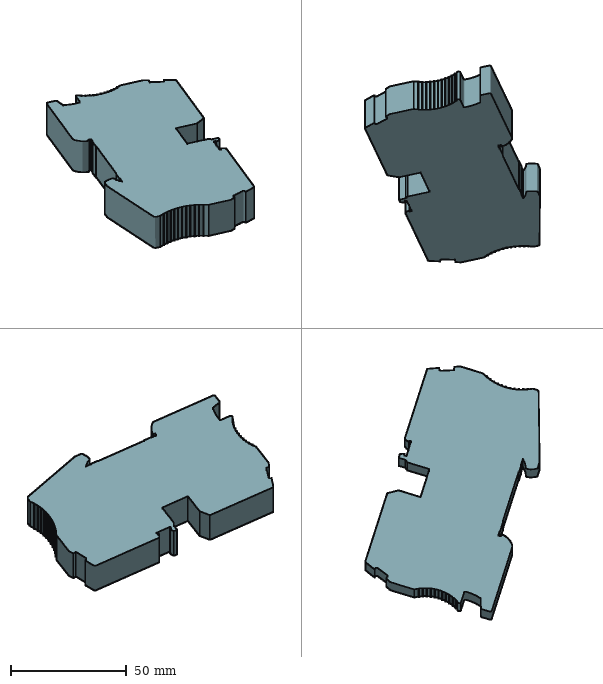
import cadquery as cq
import math

length = 100.0
height = 58.6
thickness = 16.2

shoulder = [
    (0.0, 45.5),
    (1.0, 47.7),
    (2.4, 47.4),
    (4.5, 53.2),
    (3.3, 53.7),
    (5.3, height),
]
shoulder_crest_round = 0.5
shoulder_foot_round = 1.3
shoulder_notch_round = 0.5

grip_depth = 2.9
left_grip_top = 34.7
left_grip_middle = 24.6
left_grip_bottom = 15.5
right_grip_top = 35.0
right_grip_bottom = 12.5
right_grip_middle = (right_grip_top + right_grip_bottom) / 2

ridge_count = 11
ridge_width = 0.3
ridge_height = 0.3
ridge_root = 0.5
left_ridge_pitch = 5.2
right_ridge_pitch = 4.7

slot_top = 13.8
slot_depth = 5.7
slot_bend = (5.6, 10.0)
slot_end = (4.8, 6.1)
slot_corner_round = 0.6

foot_left = 0.4
foot_shoulder = 4.8
foot_round = 0.8
foot_toe = 31.1
foot_toe_round = 1.6
foot_nose_middle = (33.6, 2.8)
foot_nose = (34.6, 6.1)
foot_undercut = 33.7

seat = 7.3
pad_drop = 0.2
left_pad = (35.5, 39.9)
right_pad = (62.8, 66.4)

hook_root = 69.1
hook_neck = (67.2, 5.6)
hook_lip = (65.3, 4.7)
hook_waist = (65.6, 2.6)
hook_heel = 66.8
hook_lip_round = 0.7
hook_heel_round = 0.5
ramp_start = 70.2
ramp_end = 9.8
ramp_start_round = 2.4
ramp_end_round = 1.3

well_left = 39.8
well_right = 52.7
well_floor = 44.4
well_lead_height = 54.3
well_lead_left = 37.1
post_left = 53.5
post_lead_height = 55.5
post_right = 55.1
groove_left = 55.3
groove_right = 62.1
groove_floor = 55.6
groove_lip_height = 56.5
groove_lip = 0.6
lip_bulge = 0.2
land_start = 62.5


def arc_radius(half_chord, sagitta):
    return (half_chord**2 + sagitta**2) / (2 * sagitta)


def lip_middle(start, end, bulge):
    """Point halfway along a groove lip, pushed sideways so that the lip is rounded."""
    return ((start[0] + end[0]) / 2 + bulge, (start[1] + end[1]) / 2)


left_grip_radius = arc_radius(left_grip_top - left_grip_middle, grip_depth)
right_grip_radius = arc_radius(right_grip_top - right_grip_middle, grip_depth)
left_grip_drop = left_grip_middle - left_grip_bottom
left_tip_inset = grip_depth - left_grip_radius + math.sqrt(left_grip_radius**2 - left_grip_drop**2)
left_tip_middle = (left_grip_bottom + slot_top) / 2

left_lip_top = (post_right, height)
left_lip_tip = (groove_left + groove_lip, groove_lip_height)
right_lip_tip = (groove_right - groove_lip, groove_lip_height)
right_lip_top = (land_start, height)


def housing():
    right_shoulder = [(length - inset, level) for inset, level in reversed(shoulder)]
    outline = (
        cq.Workplane("XY")
        .moveTo(left_tip_inset, left_grip_bottom)
        .threePointArc((grip_depth, left_grip_middle), (0, left_grip_top))
    )
    for point in shoulder:
        outline = outline.lineTo(*point)
    outline = (
        outline
        .lineTo(well_lead_left, height)
        .lineTo(well_left, well_lead_height)
        .lineTo(well_left, well_floor)
        .lineTo(well_right, well_floor)
        .lineTo(well_right, well_lead_height)
        .lineTo(post_left, post_lead_height)
        .lineTo(post_left, height)
        .lineTo(*left_lip_top)
        .threePointArc(lip_middle(left_lip_top, left_lip_tip, lip_bulge), left_lip_tip)
        .lineTo(groove_left, groove_lip_height)
        .lineTo(groove_left, groove_floor)
        .lineTo(groove_right, groove_floor)
        .lineTo(groove_right, groove_lip_height)
        .lineTo(*right_lip_tip)
        .threePointArc(lip_middle(right_lip_tip, right_lip_top, -lip_bulge), right_lip_top)
    )
    for point in right_shoulder:
        outline = outline.lineTo(*point)
    outline = (
        outline
        .lineTo(length, right_grip_top)
        .threePointArc((length - grip_depth, right_grip_middle), (length, right_grip_bottom))
        .lineTo(length, ramp_end)
        .lineTo(ramp_start, 0)
        .lineTo(hook_heel, 0)
        .lineTo(*hook_waist)
        .lineTo(*hook_lip)
        .lineTo(*hook_neck)
        .lineTo(hook_root, seat)
        .lineTo(right_pad[1], seat)
        .lineTo(right_pad[1], seat - pad_drop)
        .lineTo(right_pad[0], seat - pad_drop)
        .lineTo(right_pad[0], seat)
        .lineTo(left_pad[1], seat)
        .lineTo(left_pad[1], seat - pad_drop)
        .lineTo(left_pad[0], seat - pad_drop)
        .lineTo(left_pad[0], seat)
        .lineTo(foot_undercut, seat)
        .lineTo(foot_undercut, foot_nose[1])
        .lineTo(*foot_nose)
        .threePointArc(foot_nose_middle, (foot_toe, 0))
        .lineTo(foot_left, 0)
        .lineTo(foot_left, foot_shoulder)
        .lineTo(*slot_end)
        .threePointArc(slot_bend, (slot_depth, slot_top))
        .lineTo(left_tip_inset, slot_top)
        .threePointArc((0, left_tip_middle), (left_tip_inset, left_grip_bottom))
        .close()
    )
    return outline.extrude(thickness)


def round_corner(body, corner, radius):
    """Fillet the edge that runs through the thickness at one corner of the outline."""
    edge = cq.selectors.NearestToPointSelector((corner[0], corner[1], thickness / 2))
    return body.edges("|Z").edges(edge).fillet(radius)


def grip_ridges(center, radius, facing, pitch):
    """Small ribs standing on a concave grip; facing is +1 for the left end and -1 for the right."""
    ridges = cq.Workplane("XY")
    for index in range(ridge_count):
        angle = facing * (index - (ridge_count - 1) / 2) * pitch
        ridge = (
            cq.Workplane("XY")
            .center(facing * (radius + (ridge_root - ridge_height) / 2), 0)
            .rect(ridge_root + ridge_height, ridge_width)
            .extrude(thickness)
            .rotate((0, 0, 0), (0, 0, 1), angle)
            .translate((center[0], center[1], 0))
        )
        ridges = ridges.add(ridge)
    return ridges.combine()


shoulder_foot, shoulder_notch, shoulder_crest = shoulder[0], shoulder[3], shoulder[5]
shoulder_corners = [
    (shoulder_foot, shoulder_foot_round),
    (shoulder_notch, shoulder_notch_round),
    (shoulder_crest, shoulder_crest_round),
]
foot_and_slot_corners = [
    ((slot_depth, slot_top), slot_corner_round),
    ((foot_left, foot_shoulder), foot_round),
    ((foot_left, 0), foot_round),
    ((foot_toe, 0), foot_toe_round),
    (hook_lip, hook_lip_round),
    ((hook_heel, 0), hook_heel_round),
    ((ramp_start, 0), ramp_start_round),
    ((length, ramp_end), ramp_end_round),
]

result = housing()
for (inset, level), radius in shoulder_corners:
    result = round_corner(result, (inset, level), radius)
    result = round_corner(result, (length - inset, level), radius)
for corner, radius in foot_and_slot_corners:
    result = round_corner(result, corner, radius)

left_grip_center = (grip_depth - left_grip_radius, left_grip_middle)
right_grip_center = (length - grip_depth + right_grip_radius, right_grip_middle)
result = result.union(grip_ridges(left_grip_center, left_grip_radius, 1, left_ridge_pitch))
result = result.union(grip_ridges(right_grip_center, right_grip_radius, -1, right_ridge_pitch))